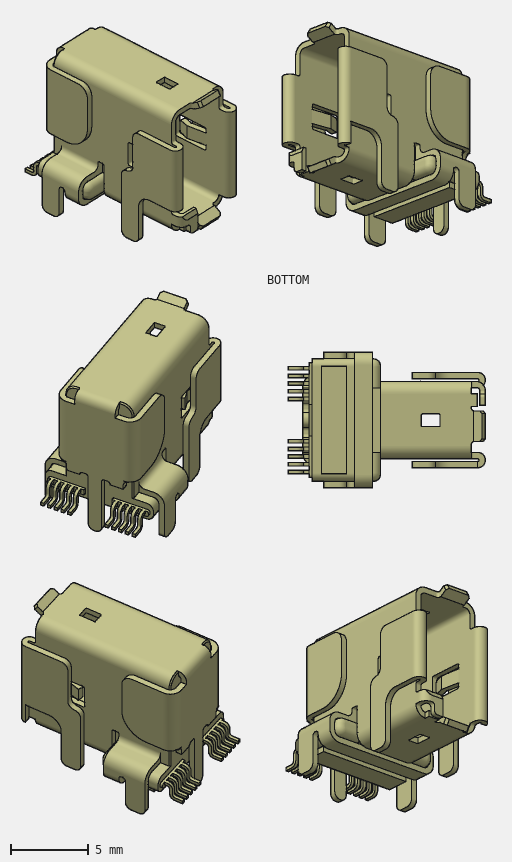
import cadquery as cq
import math


sheet = 0.42
leg_tip_radius = 0.46

shell_back = 1.66
shell_front = 11.89
shell_half_width = 2.51
shell_bottom = 1.5
shell_top = 10.9
shell_radius = 0.82
shell_inner_half = shell_half_width - sheet
mouth_end = 12.8

window_back = 8.12
window_front = 10.75
window_bottom = 5.24
window_top = 7.03
window_radius = 0.13
window_tab_back = 8.47
window_tab_knee = 9.27
window_tab_dip = 0.19
window_tab_slope = 17
window_tab_bottom = 5.63
window_tab_top = 6.62
window_tab_radius = 0.15
top_hole_back = 8.65
top_hole_length = 1.19
top_hole_width = 0.8
top_hole_radius = 0.08

housing_back = 1.56
housing_front = 6.0
housing_edge_chamfer = 0.096
flange_bottom = shell_bottom + sheet
flange_top = 3.24
flange_half_width = 3.98
flange_radius = 0.51
flange_end_radius = 0.47
foot_back = 2.16
foot_half_width = 3.5

bracket_back = 2.3
bracket_front = 5.49
bracket_leg_width = 1.5
bracket_relief_width = 0.5
bracket_relief_top = 2.57
bracket_radius = 0.82
bracket_root_radius = 0.42
side_slot_top = 4.31
side_slot_radius = 0.1

cover_back = 0.95
cover_top_bend = 0.61
cover_neck_half = 1.5
wing_half_width = 2.97
wing_bend = 0.85
wing_bottom = 5.0
wing_top = 10.04
wing_front = 4.98
wing_top_radius = 0.82
wing_bottom_radius = 1.87
cover_skirt_half = 2.09
cover_skirt_bottom = 4.3
cover_skirt_radius = 0.38
cover_leg_width = 0.99
cover_leg_half = cover_leg_width / 2
cover_relief_width = 0.63
cover_relief_depth = 0.23
cover_relief_radius = 0.22

plate_half_width = 3.1
fold_radius = (plate_half_width - shell_inner_half) / 2
plate_back = 9.04
plate_corner = 0.51
front_leg_back = 8.05
front_leg_front = 9.55
step_upper = 5.4
step_lower = 5.15
step_radius = 0.49
leg_root_radius = 0.96
plate_bottom = 3.84
fold_bottom_plus_y = 2.3
fold_top_plus_y = 9.04
fold_bottom_minus_y = plate_bottom
fold_top_minus_y = 8.61
fold_root_radius = 0.15

lip_center = 0.4
lip_width = 2.0
lip_flat = 0.24
lip_angle = 31.5
lip_root_radius = 0.18
lip_corner = 0.18

hook_bottom = fold_bottom_plus_y
hook_top = 3.11
hook_end = -0.96
hook_bend = 0.6
hook_sheet = 0.37
hook_lead_in = 0.15
hook_lead_in_height = 0.35
hook_drop_radius = 0.25
hook_root_radius = 0.22
lock_tab_front = 12.28
lock_tab_inner = -0.87
lock_tab_outer = -1.72

tail_pitch = 0.5
tail_count = 5
tail_first = 1.37
tail_width = 0.24
tail_riser_back = 0.75
tail_bend = 0.41
tail_top = 2.74
carrier_back = cover_back + sheet
carrier_inner = 1.02
carrier_outer = 3.72
carrier_bottom = 2.3
carrier_radius = 0.17


def block(x0, x1, y0, y1, z0, z1):
    """Box between two opposite corners."""
    return cq.Workplane("XY").box(x1 - x0, y1 - y0, z1 - z0, centered=False).translate((x0, y0, z0))


def tube_core(x0, x1, half_width, z0, z1, radius):
    """Solid bar along X, centred on Y, with its long edges rounded."""
    return block(x0, x1, -half_width, half_width, z0, z1).edges("|X").fillet(radius)


def mirrored(body):
    """The body together with its mirror image across the mid-plane."""
    return body.union(body.mirror("XZ"))


def root_fillet(axis, x0, edge, side, start, depth, radius):
    """Concave fillet between a face at X = x0 and a tab standing on it.

    The tab's edge lies at `edge` along the other in-plane direction and the fillet grows to
    `side` (+1 or -1) of it. `axis` is the sheet normal; the fillet fills `start` to `start + depth`.
    """
    plane = cq.Plane((0, 0, 0), xDir=(1, 0, 0), normal=(0, 0, 1) if axis == "Z" else (0, -1, 0))
    offset = start if axis == "Z" else -start - depth
    quarter = radius * (1 - math.sqrt(0.5))
    return (cq.Workplane(plane).workplane(offset=offset)
            .moveTo(x0, edge).lineTo(x0 + radius, edge)
            .threePointArc((x0 + quarter, edge + side * quarter), (x0, edge + side * radius))
            .close().extrude(depth))


def corner_web(x0, x1, y, z, y_side, z_side, radius):
    """Concave fillet along X in the corner at (y, z), growing towards the two given sides (+1 or -1)."""
    center_y = y + y_side * radius
    center_z = z + z_side * radius
    web = block(x0, x1, min(y, center_y), max(y, center_y), min(z, center_z), max(z, center_z))
    return web.cut(cq.Workplane("YZ", origin=(x0, center_y, center_z)).circle(radius).extrude(x1 - x0))


def flat_xz(points, y0):
    """Sheet lying in an XZ plane, from y0 to y0 + sheet."""
    return cq.Workplane("XZ", origin=(0, y0 + sheet, 0)).polyline(points).close().extrude(sheet)


def round_edge(body, x, z, radius):
    """Round the one edge parallel to Y that passes through (x, z)."""
    reach = 0.001
    box = cq.selectors.BoxSelector((x - reach, -mouth_end, z - reach), (x + reach, mouth_end, z + reach))
    return body.edges("|Y").edges(box).fillet(radius)


def make_window_tab():
    """Spring tab in the +Y window: dips into the shell at a knee and rises back level with the wall."""
    knee_y = shell_half_width - window_tab_dip
    slope = math.radians(window_tab_slope)
    normal_x = sheet * math.sin(slope)
    tip_x = window_tab_back + normal_x
    tip_y = knee_y + (window_tab_knee - tip_x) * math.tan(slope)
    profile = [(window_front, shell_half_width), (window_tab_knee, knee_y), (tip_x, tip_y),
               (window_tab_back, tip_y - sheet * math.cos(slope)),
               (window_tab_knee, knee_y - sheet), (window_front, shell_inner_half)]
    height = window_tab_top - window_tab_bottom
    tab = cq.Workplane("XY", origin=(0, 0, window_tab_bottom)).polyline(profile).close().extrude(height)
    outline = block(window_tab_back, window_front, 0, plate_half_width, window_tab_bottom, window_tab_top)
    return tab.intersect(outline.edges("|Y and <X").fillet(window_tab_radius))


def make_shell():
    outer = tube_core(shell_back, shell_front, shell_half_width, shell_bottom, shell_top, shell_radius)
    bore = tube_core(housing_front, shell_front, shell_inner_half, shell_bottom + sheet,
                     shell_top - sheet, shell_radius - sheet)
    below_flange = block(shell_back, housing_front, -shell_half_width, shell_half_width,
                         shell_bottom, flange_bottom)
    shell = outer.cut(bore).cut(below_flange)

    slot = block(bracket_front, housing_front, shell_inner_half, shell_half_width,
                 flange_bottom, side_slot_top)
    slot = slot.edges("|Y and >Z").fillet(side_slot_radius)
    window = block(window_back, window_front, shell_inner_half, shell_half_width, window_bottom, window_top)
    window = window.edges("|Y").fillet(window_radius)
    window_tab = make_window_tab()
    shell = shell.cut(mirrored(slot)).cut(mirrored(window)).union(mirrored(window_tab))

    hole = block(top_hole_back, top_hole_back + top_hole_length, -top_hole_width / 2, top_hole_width / 2,
                 0, shell_top)
    return shell.cut(hole.edges("|Z and <Y").fillet(top_hole_radius))


def make_housing():
    core = tube_core(housing_back, shell_back, shell_half_width, flange_bottom, shell_top, shell_radius)
    core = core.faces("<X").edges().chamfer(housing_edge_chamfer)
    flange = tube_core(housing_back, housing_front, flange_half_width,
                       flange_bottom, flange_top, flange_radius)
    flange = flange.faces(">X").edges().fillet(flange_end_radius)
    foot = block(foot_back, bracket_back + bracket_leg_width, -foot_half_width, foot_half_width,
                 shell_bottom, flange_bottom)
    return core.union(flange).union(foot)


def make_bracket():
    half_width = flange_half_width + sheet
    top = flange_top + sheet
    leg_front = bracket_back + bracket_leg_width
    strap_back = leg_front + bracket_relief_width
    strap = tube_core(bracket_back, bracket_front, half_width, shell_bottom, top, bracket_radius)
    legs_zone = block(bracket_back, strap_back, -half_width, half_width, shell_bottom, bracket_relief_top)
    strap = strap.cut(legs_zone)
    strap = strap.cut(tube_core(bracket_back, bracket_front, flange_half_width, flange_bottom, flange_top,
                                bracket_radius - sheet))

    leg = block(bracket_back, leg_front, flange_half_width, half_width, 0, bracket_relief_top)
    leg = leg.edges("|Y and <Z").fillet(leg_tip_radius)
    relief_web = block(leg_front, strap_back, flange_half_width, half_width,
                       bracket_relief_top - bracket_relief_width / 2, bracket_relief_top)
    relief_round = (cq.Workplane("XZ", origin=((leg_front + strap_back) / 2, half_width,
                                               bracket_relief_top - bracket_relief_width / 2))
                    .circle(bracket_relief_width / 2).extrude(sheet))

    root = corner_web(bracket_back, bracket_front, shell_half_width, top, 1, 1, bracket_root_radius)
    return strap.union(mirrored(leg)).union(mirrored(relief_web.cut(relief_round))).union(mirrored(root))


def make_cover():
    inner_face = cover_back + sheet
    neck = block(cover_back, shell_back, -cover_neck_half, cover_neck_half, wing_bottom, shell_top)
    neck = round_edge(neck, cover_back, shell_top, cover_top_bend)
    neck_core = block(inner_face, shell_back, -cover_neck_half, cover_neck_half,
                      wing_bottom, shell_top - sheet)
    neck = neck.cut(round_edge(neck_core, inner_face, shell_top - sheet, cover_top_bend - sheet))

    wings = block(cover_back, wing_front, -wing_half_width, wing_half_width, wing_bottom, wing_top)
    wings = wings.edges("|Z and <X").fillet(wing_bend)
    inside = block(inner_face, wing_front, sheet - wing_half_width, wing_half_width - sheet,
                   wing_bottom, wing_top)
    wings = wings.cut(inside.edges("|Z and <X").fillet(wing_bend - sheet))
    wings = wings.edges("|Y and >X and >Z").fillet(wing_top_radius)
    wings = wings.edges("|Y and >X and <Z").fillet(wing_bottom_radius)

    skirt = block(cover_back, inner_face, -cover_skirt_half, cover_skirt_half,
                  cover_skirt_bottom, wing_bottom)
    skirt = skirt.union(block(cover_back, inner_face, -cover_leg_half, cover_leg_half, 0, wing_bottom)
                        .edges("|X and <Z").fillet(leg_tip_radius))
    relief = block(cover_back, inner_face, cover_leg_half, cover_leg_half + cover_relief_width,
                   cover_skirt_bottom - cover_relief_depth, cover_skirt_bottom + cover_relief_depth)
    skirt = skirt.cut(mirrored(relief.edges("|X").fillet(cover_relief_radius)))
    gusset = corner_web(cover_back, inner_face, cover_skirt_half, wing_bottom, 1, -1, cover_skirt_radius)
    return neck.union(wings).union(skirt).union(mirrored(gusset))


def make_side_plate(fold_bottom, fold_top):
    """Side plate on the +Y side: shell wall folded outwards and back, ending in a board leg."""
    fold_start = mouth_end - fold_radius
    plate = flat_xz([(fold_start, fold_top), (plate_back, fold_top), (plate_back, step_upper),
                     (front_leg_back, step_lower), (front_leg_back, 0), (front_leg_front, 0),
                     (front_leg_front, plate_bottom), (fold_start, plate_bottom)],
                    plate_half_width - sheet)
    plate = round_edge(plate, plate_back, fold_top, plate_corner)
    plate = round_edge(plate, plate_back, step_upper, step_radius)
    plate = round_edge(plate, front_leg_back, step_lower, step_radius)
    plate = round_edge(plate, front_leg_front, plate_bottom, leg_root_radius)
    plate = plate.edges("|Y and <Z").fillet(leg_tip_radius)

    fold_middle = (shell_inner_half + plate_half_width) / 2
    height = fold_top - fold_bottom
    fold = (cq.Workplane("XY", origin=(fold_start, fold_middle, fold_bottom))
            .circle(fold_radius).circle(fold_radius - sheet).extrude(height))
    mouth_side = block(fold_start, mouth_end, shell_inner_half, plate_half_width, fold_bottom, fold_top)
    fold = fold.intersect(mouth_side)
    wall = block(shell_front, fold_start, shell_inner_half, shell_half_width, fold_bottom, fold_top)
    for edge, side in ((fold_bottom, -1), (fold_top, 1)):
        root = root_fillet("Y", shell_front, edge, side, shell_inner_half, sheet, fold_root_radius)
        wall = wall.union(root)
    return plate.union(fold).union(wall)


def make_lip():
    """Lip on the top wall: a short flat, then flared away from the mouth."""
    slope = math.radians(lip_angle)
    bend_x = shell_front + lip_flat
    inner_z = shell_top - sheet
    length = (mouth_end - bend_x) / math.cos(slope)
    rise = length * math.sin(slope)
    shift = sheet * math.sin(slope)
    lift = sheet * math.cos(slope)
    outer_bend_x = bend_x - sheet * math.tan(slope / 2)
    lip = (cq.Workplane("XZ", origin=(0, lip_center + lip_width / 2, 0))
           .polyline([(shell_front, inner_z), (bend_x, inner_z), (mouth_end, inner_z + rise),
                      (mouth_end - shift, inner_z + rise + lift), (outer_bend_x, shell_top),
                      (shell_front, shell_top)])
           .close().extrude(lip_width))
    tip_corners = cq.selectors.BoxSelector(
        (mouth_end - shift, lip_center - lip_width, inner_z + rise),
        (mouth_end, lip_center + lip_width, inner_z + rise + lift))
    lip = lip.edges("not |Y").edges(tip_corners).chamfer(lip_corner)
    for side in (-1, 1):
        edge = lip_center + side * lip_width / 2
        lip = lip.union(root_fillet("Z", shell_front, edge, side, inner_z, sheet, lip_root_radius))
    return lip


def make_lips():
    upper = make_lip()
    shell_middle = (shell_bottom + shell_top) / 2
    return upper.union(upper.mirror("XY", (0, 0, shell_middle)))


def make_seam_lock():
    """Hook bent from the -Y wall across the mouth, in front of a tab on the bottom wall."""
    plate_inner = mouth_end - hook_sheet
    drop_side = hook_bend - shell_half_width + hook_root_radius
    hook = block(shell_front, mouth_end, -shell_half_width, hook_end, hook_bottom, hook_top)
    hook = hook.edges("|Z and >X and <Y").fillet(hook_bend)
    inside = block(shell_front, plate_inner, -shell_inner_half, hook_end, hook_bottom, hook_top)
    hook = hook.cut(inside.edges("|Z and >X and <Y").fillet(hook_bend - sheet))
    lead_in = (cq.Workplane("XZ", origin=(0, hook_end, 0))
               .polyline([(mouth_end, hook_top), (mouth_end - hook_lead_in, hook_top),
                          (mouth_end, hook_top - hook_lead_in_height)])
               .close().extrude(shell_half_width + hook_end))
    hook = hook.cut(lead_in)
    drop = block(plate_inner, mouth_end, drop_side, hook_end, shell_bottom, hook_bottom)
    drop = drop.edges("|X and <Y and <Z").fillet(hook_drop_radius)
    drop = drop.union(corner_web(plate_inner, mouth_end, drop_side, hook_bottom, -1, -1, hook_root_radius))
    for edge, side in ((hook_bottom, -1), (hook_top, 1)):
        root = root_fillet("Y", shell_front, edge, side, -shell_half_width, sheet, fold_root_radius)
        hook = hook.union(root)
    tab = block(shell_front, lock_tab_front, lock_tab_outer, lock_tab_inner,
                shell_bottom, shell_bottom + sheet)
    return hook.union(drop).union(tab)


def make_tail():
    """Solder tail: foot on the board, riser, and shank into the carrier."""
    inner = tail_bend - tail_width
    foot_top = shell_bottom + tail_width
    riser_front = tail_riser_back + tail_width
    quarter = math.sqrt(0.5)
    low_x = riser_front - tail_bend
    low_z = shell_bottom + tail_bend
    high_x = tail_riser_back + tail_bend
    high_z = tail_top - tail_bend
    profile = (cq.Workplane("XZ", origin=(0, tail_width / 2, 0))
               .moveTo(0, shell_bottom).lineTo(low_x, shell_bottom)
               .threePointArc((low_x + tail_bend * quarter, low_z - tail_bend * quarter),
                              (riser_front, low_z))
               .lineTo(riser_front, high_z)
               .threePointArc((high_x - inner * quarter, high_z + inner * quarter),
                              (high_x, tail_top - tail_width))
               .lineTo(housing_back, tail_top - tail_width).lineTo(housing_back, tail_top)
               .lineTo(high_x, tail_top)
               .threePointArc((high_x - tail_bend * quarter, high_z + tail_bend * quarter),
                              (tail_riser_back, high_z))
               .lineTo(tail_riser_back, low_z)
               .threePointArc((low_x + inner * quarter, low_z - inner * quarter), (low_x, foot_top))
               .lineTo(0, foot_top).close())
    return profile.extrude(tail_width)


def make_tail_row():
    row = block(carrier_back, housing_back, carrier_inner, carrier_outer, carrier_bottom, tail_top)
    row = row.edges("|X and >Y").fillet(carrier_radius)
    tail = make_tail()
    for i in range(tail_count):
        row = row.union(tail.translate((0, tail_first + i * tail_pitch, 0)))
    return row


result = (
    make_shell()
    .union(make_housing())
    .union(make_bracket())
    .union(make_cover())
    .union(make_side_plate(fold_bottom_plus_y, fold_top_plus_y))
    .union(make_side_plate(fold_bottom_minus_y, fold_top_minus_y).mirror("XZ"))
    .union(make_lips())
    .union(make_seam_lock())
    .union(mirrored(make_tail_row()))
)